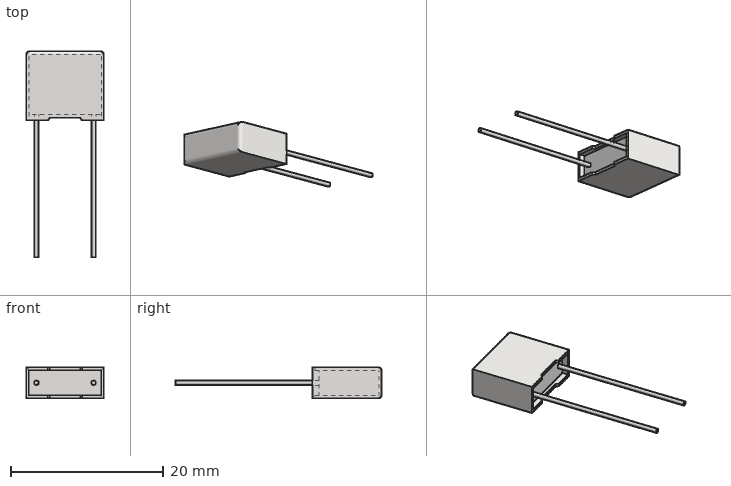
import cadquery as cq

total_length = 27.1
case_width = 10.2
case_height = 4.12
case_depth = 9.1

side_wall = 0.33
flat_wall = 0.4
back_edge_radius = 0.5

notch_width = 4.5
notch_run = 0.27
notch_depth = 0.33

fill_recess = 0.8

lead_diameter = 0.6
lead_pitch = 7.5

case_front = total_length - case_depth
fill_front = case_front + fill_recess
cavity_back = total_length - flat_wall
cavity_width = case_width - 2 * side_wall
cavity_height = case_height - 2 * flat_wall


def block(width, height, y_front, y_back):
    """Box centred on X and Z, between two Y positions."""
    return cq.Workplane("XY").box(
        width, y_back - y_front, height, centered=(True, False, True)
    ).translate((0, y_front, 0))


def notch_cutter():
    """Trapezoid through both flat walls, widest at the front rim."""
    half_front = notch_width / 2
    half_back = half_front - notch_run
    notch_back = case_front + notch_depth
    outline = [
        (-half_front, case_front),
        (half_front, case_front),
        (half_back, notch_back),
        (-half_back, notch_back),
    ]
    return cq.Workplane("XY").polyline(outline).close().extrude(case_height / 2, both=True)


def make_case():
    """Open-fronted box with rounded back edges and notched rims."""
    outer = block(case_width, case_height, case_front, total_length)
    outer = outer.faces(">Y").edges().fillet(back_edge_radius)
    cavity = block(cavity_width, cavity_height, case_front, cavity_back)
    return outer.cut(cavity).cut(notch_cutter())


def make_fill():
    """Resin block that fills the cavity behind the front recess."""
    return block(cavity_width, cavity_height, fill_front, cavity_back)


def make_lead(x):
    """Straight round wire from its tip to the front face of the fill."""
    wire = cq.Workplane("XZ").circle(lead_diameter / 2).extrude(-fill_front)
    return wire.translate((x, 0, 0))


case = make_case()
fill = make_fill()
leads = [make_lead(side * lead_pitch / 2) for side in (-1, 1)]

result = cq.Compound.makeCompound([case.val(), fill.val(), *[lead.val() for lead in leads]])